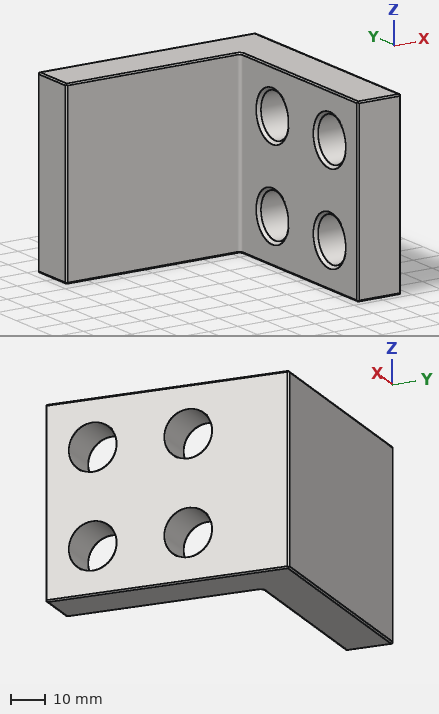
import cadquery as cq

width = 75.0
depth = 76.5
height = 60.0

wall = 15.0
inner_radius = 1.0
edge_chamfer = 0.5

hole_diameter = 15.0
hole_chamfer = 1.0
hole_pitch = 30.0
hole_center_y = -8.4

right = width / 2
back = depth / 2
inner_x = right - wall
inner_y = back - wall


def angle_body():
    """L-shaped block with a rounded inner corner and chamfered outer edges."""
    body = (
        cq.Workplane("XY")
        .workplane(offset=-height / 2)
        .moveTo(-right, back)
        .lineTo(right, back)
        .lineTo(right, -back)
        .lineTo(inner_x, -back)
        .lineTo(inner_x, inner_y)
        .lineTo(-right, inner_y)
        .close()
        .extrude(height)
    )
    inner_corner = cq.selectors.NearestToPointSelector((inner_x, inner_y, 0))
    body = body.edges(inner_corner).fillet(inner_radius)
    body = body.faces("<Z or >Z").edges().chamfer(edge_chamfer)
    return body.faces("<X or >X or <Y or >Y").edges("|Z").chamfer(edge_chamfer)


def hole_cutter():
    """Cylinder along X, flared at the inner wall face, for one hole."""
    radius = hole_diameter / 2
    mouth = radius + hole_chamfer
    return (
        cq.Workplane("XY")
        .moveTo(inner_x, 0)
        .lineTo(inner_x, mouth)
        .lineTo(inner_x + hole_chamfer, radius)
        .lineTo(right, radius)
        .lineTo(right, 0)
        .close()
        .revolve(360, (0, 0, 0), (1, 0, 0))
    )


result = angle_body()
for y_side in (-1, 1):
    for z_side in (-1, 1):
        hole_y = hole_center_y + y_side * hole_pitch / 2
        hole_z = z_side * hole_pitch / 2
        result = result.cut(hole_cutter().translate((0, hole_y, hole_z)))